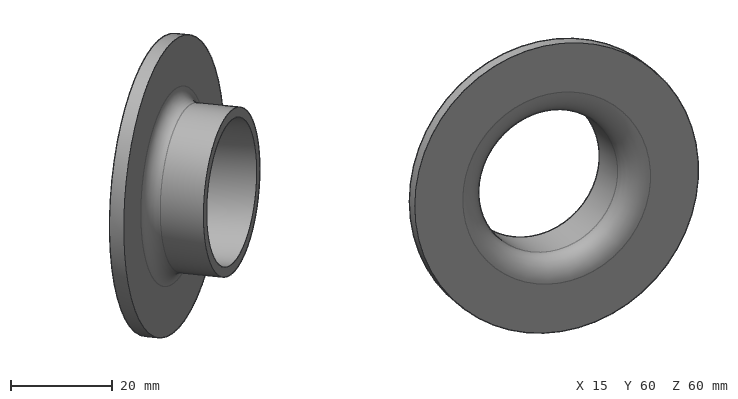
import cadquery as cq

flange_diameter = 60.0
flange_thickness = 3.0
collar_outer_diameter = 33.7
collar_wall = 2.0
total_length = 15.0
bore_entry_radius = 5.0
collar_root_radius = 3.0

bore_diameter = collar_outer_diameter - 2 * collar_wall

inner_edge = cq.selectors.RadiusNthSelector(0)


def disc(diameter, length):
    """Round bar along +X, starting on the YZ plane."""
    return cq.Workplane("YZ").circle(diameter / 2).extrude(length)


def round_collar_root(body):
    """Blend the back of the flange into the outside of the collar."""
    mid_back_radius = (flange_diameter + collar_outer_diameter) / 4
    back_point = (flange_thickness, 0, mid_back_radius)
    flange_back = body.faces(cq.selectors.NearestToPointSelector(back_point))
    return flange_back.edges(inner_edge).fillet(collar_root_radius)


def cut_bore(body):
    """Through bore along X with a rounded entry at the flange face."""
    bored = body.cut(disc(bore_diameter, total_length))
    return bored.faces("<X").edges(inner_edge).fillet(bore_entry_radius)


flange = disc(flange_diameter, flange_thickness)
collar = disc(collar_outer_diameter, total_length)
result = cut_bore(round_collar_root(flange.union(collar)))